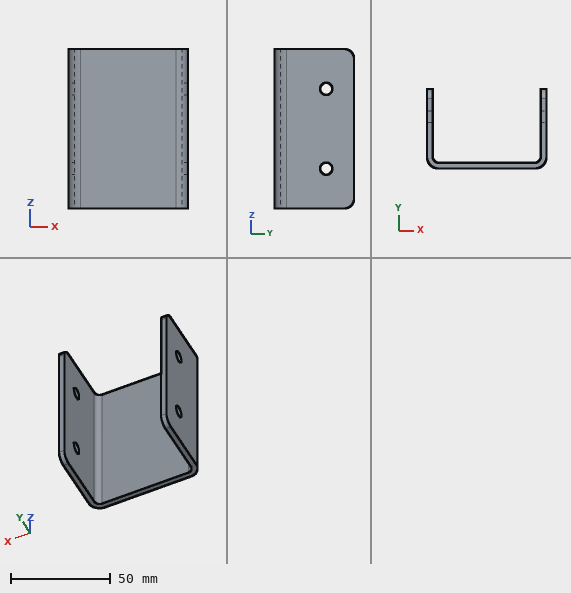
import cadquery as cq

width = 60.0
depth = 40.0
height = 80.0

bend_outer_radius = 6.0
thickness = bend_outer_radius / 2
bend_inner_radius = bend_outer_radius - thickness

corner_radius = 5.0
hole_diameter = 6.0
hole_edge_distance = 14.0
hole_spacing = height / 2


def rounded_block(block_width, back_y, bend_radius):
    """Full-height block from back_y to the free edge, rounded along its back corners."""
    return (
        cq.Workplane("XY")
        .box(block_width, depth - back_y, height, centered=(True, False, True))
        .translate((0, back_y, 0))
        .edges("|Z and <Y")
        .fillet(bend_radius)
    )


outer = rounded_block(width, 0, bend_outer_radius)
inner = rounded_block(width - 2 * thickness, thickness, bend_inner_radius)
channel = outer.cut(inner)

channel = channel.faces(">Y").edges("|X").fillet(corner_radius)

holes = (
    cq.Workplane("YZ")
    .center(depth - hole_edge_distance, 0)
    .rarray(0.8, hole_spacing, 1, 2)
    .circle(hole_diameter / 2)
    .extrude(width / 2, both=True)
)

result = channel.cut(holes)